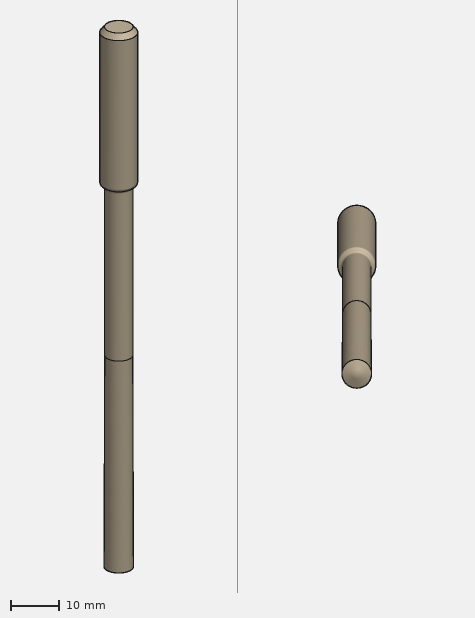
import cadquery as cq

total_length = 126.0

grip_diameter = 8.0
shoulder_bottom_z = 88.7
shoulder_height = 1.5
top_chamfer_width = 1.0
top_chamfer_height = 1.3
neck_diameter = 5.9

joint_z = 50.0
cutter_diameter = 6.2
point_height = 1.0

grip_radius = grip_diameter / 2
neck_radius = neck_diameter / 2
cutter_radius = cutter_diameter / 2


def make_shank():
    """Chamfered grip that narrows to a plain neck over an S-curved shoulder."""
    step = grip_radius - neck_radius
    arc_radius = (step**2 + shoulder_height**2) / (4 * step)
    arcs_meet = (neck_radius + step / 2, shoulder_bottom_z + shoulder_height / 2)
    return (
        cq.Workplane("XZ")
        .moveTo(0, joint_z)
        .lineTo(neck_radius, joint_z)
        .lineTo(neck_radius, shoulder_bottom_z)
        .radiusArc(arcs_meet, arc_radius)
        .radiusArc((grip_radius, shoulder_bottom_z + shoulder_height), -arc_radius)
        .lineTo(grip_radius, total_length - top_chamfer_height)
        .lineTo(grip_radius - top_chamfer_width, total_length)
        .lineTo(0, total_length)
        .close()
        .revolve(360, (0, 0, 0), (0, 1, 0))
    )


def make_cutter():
    """Slightly tapered rod ending in a shallow conical point."""
    return (
        cq.Workplane("XZ")
        .moveTo(0, 0)
        .lineTo(cutter_radius, point_height)
        .lineTo(neck_radius, joint_z)
        .lineTo(0, joint_z)
        .close()
        .revolve(360, (0, 0, 0), (0, 1, 0))
    )


shank = make_shank()
cutter = make_cutter()
result = cq.Compound.makeCompound([shank.val(), cutter.val()])